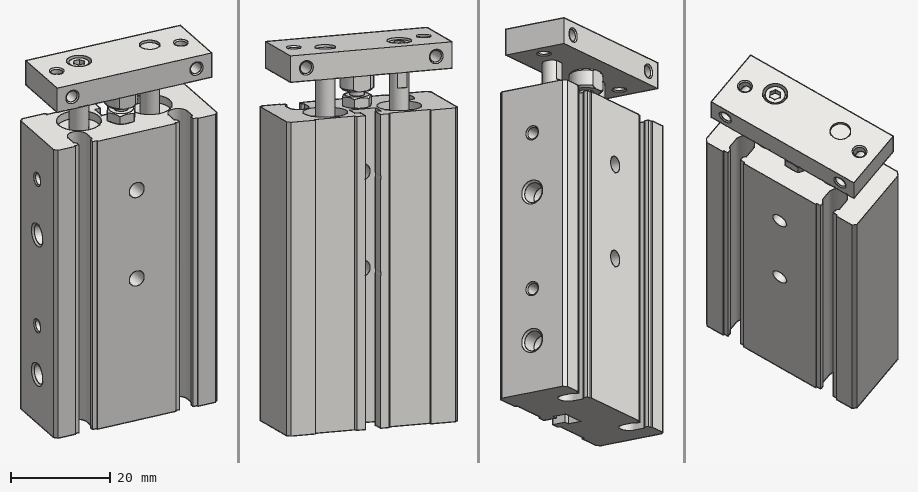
import cadquery as cq
import math

BODY_X = 16.0
BODY_Y = 37.0
BODY_Z = 65.0
BODY_CHAMFER = 0.7

RELIEF_DEPTH = 0.55
RELIEF_INNER_Y = 3.45
RELIEF_OUTER_Y = 12.5
RELIEF_SLOPE = 0.4

SLOT_WIDTH = 3.2
SLOT_INNER_WIDTH = 5.65
SLOT_LIP = 3.0
SLOT_DEPTH = 6.0

GROOVE_Y = 11.4
GROOVE_DIA = 4.15
GROOVE_NECK = 3.1
GROOVE_CENTRE_DEPTH = 3.9
GROOVE_MOUTH = 5.0
GROOVE_MOUTH_DEPTH = 0.3
GROOVE_NECK_DEPTH = 1.2

MOUNT_DIA = 3.4
MOUNT_HEIGHTS = (32.0, 52.0)

THREAD_DIA = 2.4
THREAD_MOUTH_DIA = 3.0
SIDE_THREAD_HEIGHTS = (22.0, 55.0)
SIDE_THREAD_DEPTH = 3.9
PORT_DIA = 4.15
PORT_MOUTH_DIA = 5.0
PORT_HEIGHTS = (11.0, 42.5)
PORT_DEPTH = 3.9
DRILL_POINT_ANGLE = 118.0

ROD_X = -2.0
ROD_Y = 8.0
BORE_DIA = 9.0
BORE_DEPTH = 1.7

BOLT_X = 1.0
STEM_DIA = 3.0
NUT_FLATS = 5.5
NUT_HEIGHT = 2.35
NUT_RIM_DIA = 5.0
NUT_TOP_CHAMFER = 0.4
NUT_BASE_CHAMFER = 0.2
HEAD_DIA = 6.8
HEAD_RIM_DIA = 6.0
HEAD_FLATS = 5.7
HEAD_HEIGHT = 4.0
HEAD_BASE_Z = 68.5

PLATE_X = 14.0
PLATE_Y = 35.0
PLATE_Z = 5.5
TOTAL_Z = 78.5
PLATE_HOLE_Y = 14.05
ROD_DIA = 4.0
ROD_RECESS_DIA = 4.15
ROD_RECESS_DEPTH = 0.55
FLATS_WIDTH = 3.45
FLATS_LENGTH = 3.9
COUNTERBORE_DIA = 5.0
COUNTERBORE_DEPTH = 2.35
SCREW_HEAD_DIA = 4.0
SCREW_HEAD_DROP = 0.3
SOCKET_FLATS = 2.1
SOCKET_DEPTH = 1.2

PLATE_BASE_Z = TOTAL_Z - PLATE_Z
PLATE_MID_Z = PLATE_BASE_Z + PLATE_Z / 2
BORE_FLOOR_Z = BODY_Z - BORE_DEPTH
LEFT = -BODY_X / 2
RIGHT = BODY_X / 2


def cylinder(dia, x, y, z_low, z_high):
    """Upright cylinder between two heights."""
    return cq.Workplane("XY", origin=(x, y, z_low)).circle(dia / 2).extrude(z_high - z_low)


def hexagon(flats, x, y, z_low, z_high):
    """Upright hexagonal prism with two flats facing along X."""
    across_corners = flats / math.cos(math.pi / 6)
    prism = cq.Workplane("XY").polygon(6, across_corners).extrude(z_high - z_low)
    return prism.rotate((0, 0, 0), (0, 0, 1), 90).translate((x, y, z_low))


def hole_outline(dia, mouth_dia, depth):
    """Half section of a hole from the origin down, with a 45 degree chamfered mouth."""
    radius = dia / 2
    mouth_radius = mouth_dia / 2
    return (
        cq.Workplane("XZ")
        .lineTo(mouth_radius, 0)
        .lineTo(radius, radius - mouth_radius)
        .lineTo(radius, -depth)
    )


def blind_hole(dia, mouth_dia, depth):
    """Cutter for a drill-pointed hole going down from the origin."""
    tip_depth = depth + dia / 2 / math.tan(math.radians(DRILL_POINT_ANGLE / 2))
    outline = hole_outline(dia, mouth_dia, depth).lineTo(0, -tip_depth).close()
    return outline.revolve(360, (0, 0, 0), (0, 1, 0))


def through_hole(length):
    """Cutter for a threaded hole going down from the origin, chamfered at both ends."""
    outline = hole_outline(THREAD_DIA, THREAD_MOUTH_DIA, length / 2).lineTo(0, -length / 2).close()
    upper = outline.revolve(360, (0, 0, 0), (0, 1, 0))
    lower = upper.mirror("XY").translate((0, 0, -length))
    return upper.union(lower)


def relief_band():
    """Shallow band on the -X face at +Y, sloping up at its inner edge."""
    floor_x = LEFT + RELIEF_DEPTH
    points = [
        (LEFT, RELIEF_INNER_Y),
        (floor_x, RELIEF_INNER_Y + RELIEF_SLOPE),
        (floor_x, RELIEF_OUTER_Y),
        (LEFT, RELIEF_OUTER_Y),
    ]
    return cq.Workplane("XY").polyline(points).close().extrude(BODY_Z)


def t_slot():
    """T-shaped slot in the -X face, along the full height."""
    neck = cq.Workplane("XY").box(SLOT_DEPTH, SLOT_WIDTH, BODY_Z, centered=(False, True, False))
    wide = cq.Workplane("XY").box(
        SLOT_DEPTH - SLOT_LIP, SLOT_INNER_WIDTH, BODY_Z, centered=(False, True, False)
    )
    return neck.union(wide.translate((SLOT_LIP, 0, 0))).translate((LEFT, 0, 0))


def sensor_groove():
    """Round-bottomed groove in the +X face at +Y: wide shallow mouth, narrow neck, 45 degree shoulders."""
    half_width = GROOVE_DIA / 2
    half_neck = GROOVE_NECK / 2
    half_mouth = GROOVE_MOUTH / 2
    mouth_x = RIGHT - GROOVE_MOUTH_DEPTH
    neck_x = RIGHT - GROOVE_NECK_DEPTH
    shoulder_x = neck_x - (half_width - half_neck)
    centre_x = RIGHT - GROOVE_CENTRE_DEPTH
    outline = (
        cq.Workplane("XY", origin=(0, GROOVE_Y, 0))
        .moveTo(RIGHT, -half_mouth)
        .lineTo(mouth_x, -half_mouth)
        .lineTo(mouth_x, -half_neck)
        .lineTo(neck_x, -half_neck)
        .lineTo(shoulder_x, -half_width)
        .lineTo(centre_x, -half_width)
        .threePointArc((centre_x - half_width, 0), (centre_x, half_width))
        .lineTo(shoulder_x, half_width)
        .lineTo(neck_x, half_neck)
        .lineTo(mouth_x, half_neck)
        .lineTo(mouth_x, half_mouth)
        .lineTo(RIGHT, half_mouth)
    )
    return outline.close().extrude(BODY_Z)


def side_hole(tool, height):
    """Place a downward cutter so that it enters the -Y face at the given height."""
    return tool.rotate((0, 0, 0), (1, 0, 0), 90).translate((0, -BODY_Y / 2, height))


def stop_bolt():
    """Lock nut, stem and two-flat bolt head standing on the top of the housing."""
    nut_top = BODY_Z + NUT_HEIGHT
    nut_corner_radius = NUT_FLATS / math.cos(math.pi / 6) / 2
    nut_outline = [
        (0, BODY_Z),
        (NUT_RIM_DIA / 2, BODY_Z),
        (nut_corner_radius, BODY_Z + NUT_BASE_CHAMFER),
        (nut_corner_radius, nut_top - NUT_TOP_CHAMFER),
        (NUT_RIM_DIA / 2, nut_top),
        (0, nut_top),
    ]
    nut_rim = cq.Workplane("XZ").polyline(nut_outline).close().revolve(360, (0, 0, 0), (0, 1, 0))
    nut_rim = nut_rim.translate((BOLT_X, 0, 0))
    nut = hexagon(NUT_FLATS, BOLT_X, 0, BODY_Z, nut_top).intersect(nut_rim)

    head_top = HEAD_BASE_Z + HEAD_HEIGHT
    head = cylinder(HEAD_DIA, BOLT_X, 0, HEAD_BASE_Z, head_top)
    head = head.faces("<Z or >Z").chamfer((HEAD_DIA - HEAD_RIM_DIA) / 2)
    flats = cq.Workplane("XY", origin=(BOLT_X, 0, HEAD_BASE_Z))
    flats = flats.box(HEAD_FLATS, HEAD_DIA, HEAD_HEIGHT, centered=(True, True, False))
    stem = cylinder(STEM_DIA, BOLT_X, 0, nut_top, HEAD_BASE_Z)
    return nut.union(stem).union(head.intersect(flats))


def make_housing():
    body = cq.Workplane("XY").box(BODY_X, BODY_Y, BODY_Z, centered=(True, True, False))
    body = body.edges("|Z").chamfer(BODY_CHAMFER)
    body = body.cut(t_slot())
    for profile in (relief_band(), sensor_groove()):
        body = body.cut(profile).cut(profile.mirror("XZ"))
    for height in MOUNT_HEIGHTS:
        drill = cq.Workplane("YZ", origin=(LEFT, 0, height)).circle(MOUNT_DIA / 2).extrude(BODY_X)
        body = body.cut(drill)
    threaded_hole = blind_hole(THREAD_DIA, THREAD_MOUTH_DIA, SIDE_THREAD_DEPTH)
    for height in SIDE_THREAD_HEIGHTS:
        body = body.cut(side_hole(threaded_hole, height))
    port = blind_hole(PORT_DIA, PORT_MOUTH_DIA, PORT_DEPTH)
    for height in PORT_HEIGHTS:
        body = body.cut(side_hole(port, height))
    for side in (-1, 1):
        body = body.cut(cylinder(BORE_DIA, ROD_X, side * ROD_Y, BORE_FLOOR_Z, BODY_Z))
    return body.union(stop_bolt())


def flatted_rod():
    """Rod at -Y with two wrench flats just under the plate."""
    rod = cylinder(ROD_DIA, ROD_X, -ROD_Y, BORE_FLOOR_Z, PLATE_BASE_Z)
    ring = cq.Workplane("XY", origin=(ROD_X, -ROD_Y, PLATE_BASE_Z - FLATS_LENGTH))
    blank = ring.box(ROD_DIA, ROD_DIA, FLATS_LENGTH, centered=(True, True, False))
    kept = ring.box(FLATS_WIDTH, ROD_DIA, FLATS_LENGTH, centered=(True, True, False))
    return rod.cut(blank.cut(kept))


def make_plate():
    plate = cq.Workplane("XY", origin=(0, 0, PLATE_BASE_Z))
    plate = plate.box(PLATE_X, PLATE_Y, PLATE_Z, centered=(True, True, False))

    vertical = through_hole(PLATE_Z).translate((0, 0, TOTAL_Z))
    across = through_hole(PLATE_X).rotate((0, 0, 0), (0, 1, 0), 90)
    across = across.translate((PLATE_X / 2, 0, PLATE_MID_Z))
    for side in (-1, 1):
        plate = plate.cut(vertical.translate((0, side * PLATE_HOLE_Y, 0)))
        plate = plate.cut(across.translate((0, side * PLATE_HOLE_Y, 0)))

    plate = plate.union(cylinder(ROD_DIA, ROD_X, ROD_Y, BORE_FLOOR_Z, PLATE_BASE_Z))
    plate = plate.cut(cylinder(ROD_RECESS_DIA, ROD_X, ROD_Y, TOTAL_Z - ROD_RECESS_DEPTH, TOTAL_Z))

    screw_top = TOTAL_Z - SCREW_HEAD_DROP
    plate = plate.union(flatted_rod())
    counterbore_floor = TOTAL_Z - COUNTERBORE_DEPTH
    plate = plate.cut(cylinder(COUNTERBORE_DIA, ROD_X, -ROD_Y, counterbore_floor, TOTAL_Z))
    plate = plate.union(cylinder(SCREW_HEAD_DIA, ROD_X, -ROD_Y, counterbore_floor, screw_top))
    return plate.cut(hexagon(SOCKET_FLATS, ROD_X, -ROD_Y, screw_top - SOCKET_DEPTH, screw_top))


housing = make_housing()
plate = make_plate()
result = cq.Compound.makeCompound([housing.val(), plate.val()])